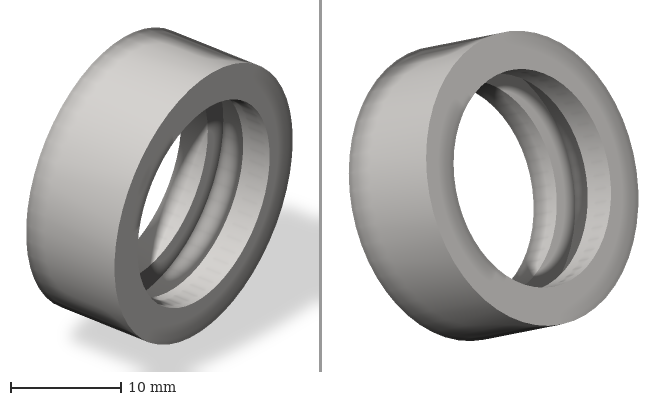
import cadquery as cq

outer_diameter = 27.0
width = 10.0
bore_diameter = 20.0

groove_diameter = 24.7
groove_width = 4.0


def disc(diameter, length):
    """Cylinder along X, centred on the origin."""
    return cq.Workplane("YZ", origin=(-length / 2, 0, 0)).circle(diameter / 2).extrude(length)


ring = disc(outer_diameter, width).cut(disc(bore_diameter, width))
result = ring.cut(disc(groove_diameter, groove_width))